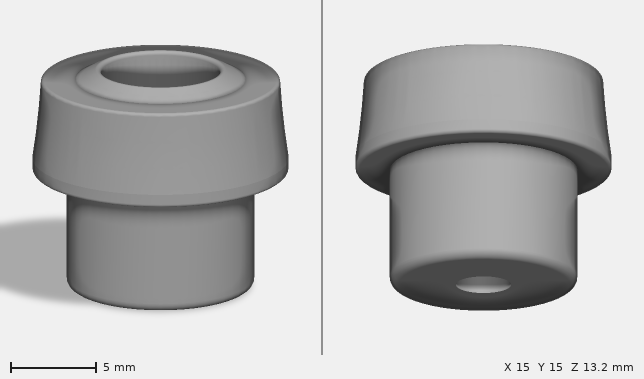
import cadquery as cq
import math

shank_height = 7.0
flange_height = 5.6
crown_height = 0.62
rim_height = 0.8
flange_top = shank_height + flange_height
total_height = flange_top + crown_height

shank_radius = 11.0 / 2
flange_radius = 15 / 2
flange_top_radius = 14.0 / 2
crown_base_radius = 10.0 / 2
bore_radius = 7.0 / 2
hole_radius = 3.24 / 2

bore_depth = 2.1
countersink = 0.5
shank_round = 0.5
flange_round = 0.2
lip_round = 0.22

lip_radius = bore_radius + lip_round
lip_height = total_height - lip_round
cone_run = crown_base_radius - lip_radius
cone_drop = lip_height - flange_top
cone_slope = math.atan2(cone_drop, cone_run) + math.asin(lip_round / math.hypot(cone_run, cone_drop))
crown_top_radius = lip_radius + lip_round * math.sin(cone_slope)
crown_top_height = lip_height + lip_round * math.cos(cone_slope)

flare_bottom = shank_height + rim_height
flare_mid_height = (flare_bottom + flange_top) / 2
flare_hollow = 0.06
flare_mid_radius = (flange_radius + flange_top_radius) / 2 - flare_hollow


def make_body():
    """Revolve the solid shank, flange and crown about Z."""
    profile = (
        cq.Workplane("XZ")
        .lineTo(shank_radius, 0)
        .lineTo(shank_radius, shank_height)
        .lineTo(flange_radius, shank_height)
        .lineTo(flange_radius, flare_bottom)
        .threePointArc((flare_mid_radius, flare_mid_height), (flange_top_radius, flange_top))
        .lineTo(crown_base_radius, flange_top)
        .lineTo(crown_top_radius, crown_top_height)
        .threePointArc((lip_radius, total_height), (bore_radius, lip_height))
        .lineTo(0, lip_height)
        .close()
    )
    return profile.revolve(360, (0, 0, 0), (0, 1, 0))


def round_outer_edge(body, height, rounding):
    """Round the widest circular edge lying at the given height."""
    margin = 0.02
    level = cq.selectors.BoxSelector(
        (-flange_radius - margin, -flange_radius - margin, height - margin),
        (flange_radius + margin, flange_radius + margin, height + margin),
        boundingbox=True,
    )
    widest = cq.selectors.RadiusNthSelector(-1)
    return body.edges(level).edges(widest).fillet(rounding)


def cut_bore(body):
    """Cut the bore and the countersunk through hole in its floor."""
    floor = total_height - bore_depth
    cutter = (
        cq.Workplane("XZ")
        .lineTo(hole_radius, 0)
        .lineTo(hole_radius, floor - countersink)
        .lineTo(hole_radius + countersink, floor)
        .lineTo(bore_radius, floor)
        .lineTo(bore_radius, lip_height)
        .lineTo(0, lip_height)
        .close()
        .revolve(360, (0, 0, 0), (0, 1, 0))
    )
    return body.cut(cutter)


result = make_body()
result = round_outer_edge(result, 0, shank_round)
result = round_outer_edge(result, shank_height, flange_round)
result = round_outer_edge(result, flange_top, flange_round)
result = cut_bore(result)